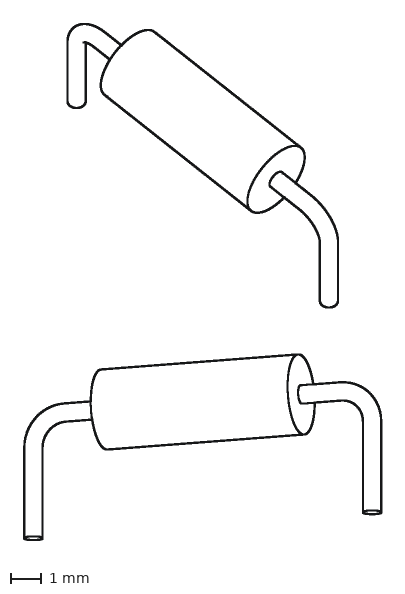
import cadquery as cq

overall_length = 12.29
overall_height = 5.41
housing_diameter = 2.62
housing_length = 6.8
wire_diameter = 0.6
bend_radius = 1.08

housing_end = housing_length / 2
leg_x = (overall_length - wire_diameter) / 2
leg_bottom_z = housing_diameter / 2 - overall_height


def make_housing():
    """Plain cylinder centred on the origin."""
    return (
        cq.Workplane("YZ")
        .workplane(offset=-housing_end)
        .circle(housing_diameter / 2)
        .extrude(housing_length)
    )


def make_lead(side):
    """Round wire from a housing end face, bent down; side is -1 or +1 along X."""
    bend_start_x = leg_x - bend_radius
    centreline = (
        cq.Workplane("XZ")
        .moveTo(side * housing_end, 0)
        .lineTo(side * bend_start_x, 0)
        .tangentArcPoint((side * leg_x, -bend_radius), relative=False)
        .lineTo(side * leg_x, leg_bottom_z)
    )
    return (
        cq.Workplane("YZ", origin=(side * housing_end, 0, 0))
        .circle(wire_diameter / 2)
        .sweep(centreline)
    )


housing = make_housing()
leads = [make_lead(side) for side in (-1, 1)]

result = cq.Compound.makeCompound([housing.val(), *[lead.val() for lead in leads]])